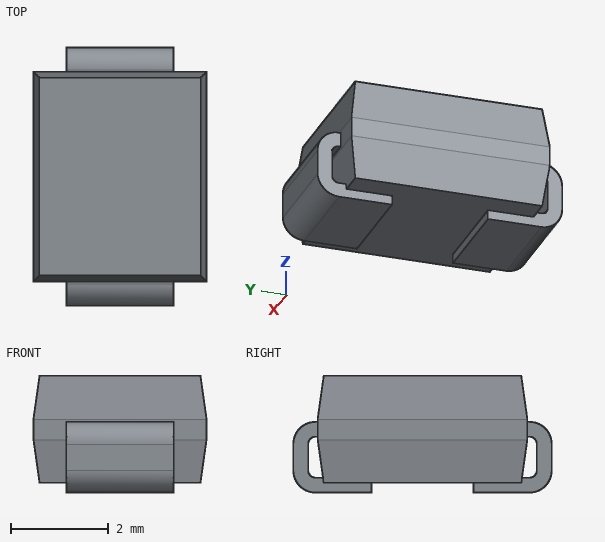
import cadquery as cq
import math

body_width = 3.55
body_length = 4.3
overall_length = 5.3
overall_height = 2.4
standoff = 0.2

band_height = 0.42
draft_angle = 8.0
body_height = overall_height - standoff
drafted_height = (body_height - band_height) / 2
band_bottom = standoff + drafted_height
band_top = band_bottom + band_height

lead_width = 2.2
lead_thickness = 0.31
lead_height = 1.455
foot_length = 1.61
inner_bend_radius = 0.15
outer_bend_radius = inner_bend_radius + lead_thickness
lead_embed = 0.3


def band_prism(bottom, height, taper=0):
    """Extrude the widest body rectangle from the given level."""
    return (
        cq.Workplane("XY")
        .workplane(offset=bottom)
        .rect(body_width, body_length)
        .extrude(height, taper=taper)
    )


def make_body():
    band = band_prism(band_bottom, band_height)
    upper = band_prism(band_top, drafted_height, draft_angle)
    lower = band_prism(band_bottom, -drafted_height, draft_angle)
    return band.union(upper).union(lower)


def make_lead():
    """Hooked lead on the -Y end, a side profile extruded along X."""
    outer_y = -overall_length / 2
    inner_y = outer_y + lead_thickness
    bend_y = outer_y + outer_bend_radius
    foot_tip_y = outer_y + foot_length
    arm_tip_y = -body_length / 2 + lead_embed
    lower_bend_z = outer_bend_radius
    upper_bend_z = lead_height - outer_bend_radius
    diagonal = math.sqrt(0.5)
    outer_mid = outer_bend_radius * diagonal
    inner_mid = inner_bend_radius * diagonal

    return (
        cq.Workplane("YZ")
        .workplane(offset=-lead_width / 2)
        .moveTo(foot_tip_y, 0)
        .lineTo(bend_y, 0)
        .threePointArc((bend_y - outer_mid, lower_bend_z - outer_mid), (outer_y, lower_bend_z))
        .lineTo(outer_y, upper_bend_z)
        .threePointArc((bend_y - outer_mid, upper_bend_z + outer_mid), (bend_y, lead_height))
        .lineTo(arm_tip_y, lead_height)
        .lineTo(arm_tip_y, lead_height - lead_thickness)
        .lineTo(bend_y, lead_height - lead_thickness)
        .threePointArc((bend_y - inner_mid, upper_bend_z + inner_mid), (inner_y, upper_bend_z))
        .lineTo(inner_y, lower_bend_z)
        .threePointArc((bend_y - inner_mid, lower_bend_z - inner_mid), (bend_y, lead_thickness))
        .lineTo(foot_tip_y, lead_thickness)
        .close()
        .extrude(lead_width)
    )


front_lead = make_lead()
back_lead = front_lead.mirror("XZ")
result = make_body().union(front_lead).union(back_lead)